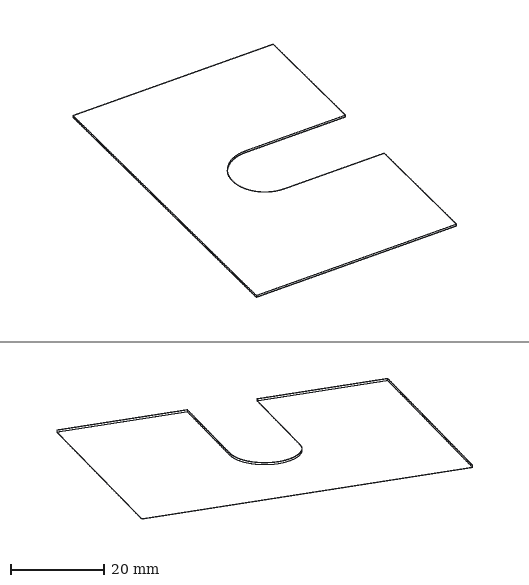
import cadquery as cq

length = 76.0
width = 50.0
thickness = 0.5

slot_width = 16.0
slot_depth = 33.0

slot_radius = slot_width / 2
back_edge = width / 2
arc_center_y = back_edge - slot_depth + slot_radius

plate = cq.Workplane("XY").box(length, width, thickness)

slot = (
    cq.Workplane("XY")
    .moveTo(-slot_radius, back_edge)
    .lineTo(-slot_radius, arc_center_y)
    .threePointArc((0, back_edge - slot_depth), (slot_radius, arc_center_y))
    .lineTo(slot_radius, back_edge)
    .close()
    .extrude(thickness, both=True)
)

result = plate.cut(slot)